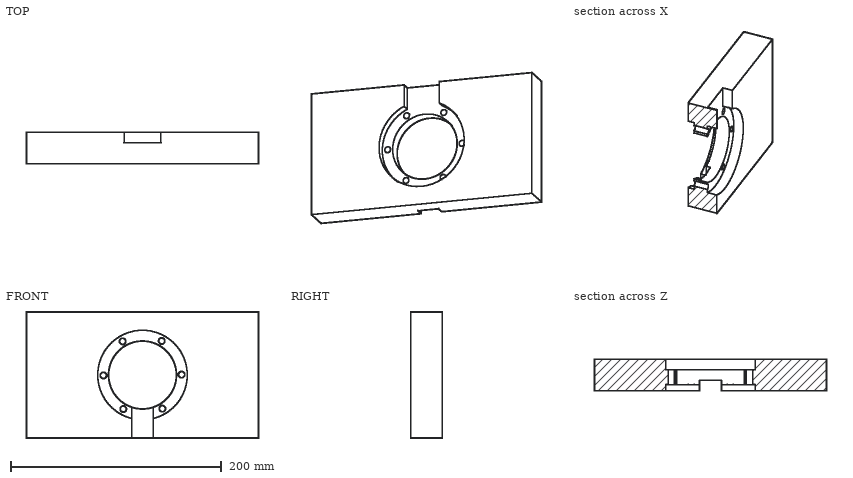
import cadquery as cq

length = 220
thickness = 30.0
height = 120.0

bore_diameter = 64.2
seat_diameter = 85.0
seat_depth = 6.0
relief_diameter = seat_diameter

hole_count = 6
hole_diameter = 5.7
hole_circle_diameter = 74.1
hole_ring_angle = 0.6

channel_depth = 10.0
front_channel_width = 20.7
back_channel_width = 35.0

front_y = -thickness / 2
back_y = thickness / 2


def cylinder_along_y(diameter, start_y, depth):
    """Cylinder on the bore axis, running toward +Y from start_y."""
    plane = cq.Workplane("XZ", origin=(0, start_y, 0))
    return plane.circle(diameter / 2).extrude(-depth)


def channel(width, start_y, direction):
    """Straight channel from the bore axis up (+1) or down (-1) to the plate edge."""
    box = cq.Workplane("XY").box(width, channel_depth, height / 2)
    return box.translate((0, start_y + channel_depth / 2, direction * height / 4))


def hole_ring():
    """Evenly spaced through holes around the bore."""
    return (
        cq.Workplane("XZ", origin=(0, front_y, 0))
        .polarArray(hole_circle_diameter / 2, hole_ring_angle, 360, hole_count)
        .circle(hole_diameter / 2)
        .extrude(-thickness)
    )


plate = cq.Workplane("XY").box(length, thickness, height)
bore = cylinder_along_y(bore_diameter, front_y, thickness)
seat = cylinder_along_y(seat_diameter, front_y, seat_depth)
relief = cylinder_along_y(relief_diameter, back_y - channel_depth, channel_depth)
front_channel = channel(front_channel_width, front_y, -1)
back_channel = channel(back_channel_width, back_y - channel_depth, 1)

result = (
    plate.cut(bore)
    .cut(seat)
    .cut(relief)
    .cut(hole_ring())
    .cut(front_channel)
    .cut(back_channel)
)